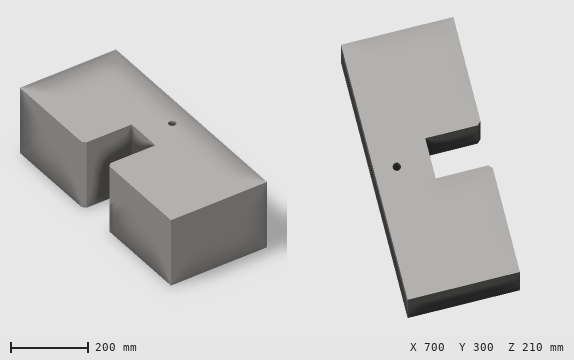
import cadquery as cq

length = 700.0
depth = 300.0
height = 210.0

slot_width = 110.0
slot_depth = depth / 2
mouth_chamfer = 10.0

hole_diameter = 22.0
hole_from_back = 60.0

front = -depth / 2
back = depth / 2
half_slot = slot_width / 2
half_mouth = half_slot + mouth_chamfer


def make_block():
    return cq.Workplane("XY").box(length, depth, height)


def make_slot():
    """Rectangular slot whose mouth widens at both front corners."""
    return (
        cq.Workplane("XY", origin=(0, 0, -height / 2))
        .moveTo(-half_mouth, front)
        .lineTo(-half_slot, front + mouth_chamfer)
        .lineTo(-half_slot, front + slot_depth)
        .lineTo(half_slot, front + slot_depth)
        .lineTo(half_slot, front + mouth_chamfer)
        .lineTo(half_mouth, front)
        .close()
        .extrude(height)
    )


def make_hole():
    return (
        cq.Workplane("XY", origin=(0, back - hole_from_back, -height / 2))
        .circle(hole_diameter / 2)
        .extrude(height)
    )


result = make_block().cut(make_slot()).cut(make_hole())